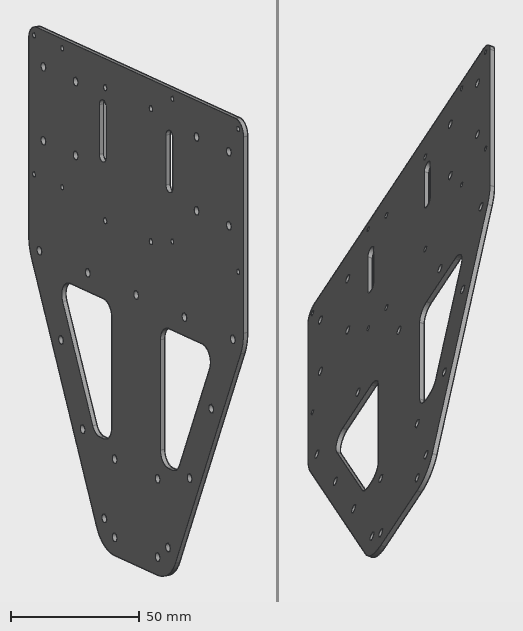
import cadquery as cq

width = 160.0
height = 200.0
thickness = 2.0
half_width = width / 2
half_height = height / 2
taper_slope = 2.0
shoulder_z = 9.5
foot_half_width = half_width - (shoulder_z + half_height) / taper_slope
top_radius = 6.0
shoulder_radius = 20.0
foot_radius = 15.0

window_inner_x = 18.2
window_top_z = 2.2
window_bottom_z = -54.5
window_top_outer_x = 59.0
window_bottom_outer_x = window_top_outer_x - (window_top_z - window_bottom_z) / taper_slope
window_radius = 6.0

slot_x = 24.8
slot_z = 70.2
slot_length = 25.2
slot_width = 5.0

large_diameter = 3.5
mount_columns = (45.0, 69.0)
mount_rows = (55.2, 85.2)
row_z = 9.8
row_pitch = 36.0
edge_hole_drop = 32.2
edge_hole_count = 3
foot_hole_x = 16.0
foot_hole_rows = (-60.8, -92.5)

medium_diameter = 2.5
medium_columns = (-23.0, 11.0)
medium_rows = (34.2, 88.2)

small_diameter = 2.0
small_top_z = 96.2
small_left_columns = (-76.0, -55.0)
small_left_bottom_z = 39.8
small_right_columns = (27.0, 76.0)
small_right_bottom_z = 38.2


def extrude_centred(sketch):
    """Extrude an XZ sketch by the plate thickness, centred on Y = 0."""
    return sketch.extrude(thickness / 2, both=True)


def grid(columns, rows):
    """All (x, z) points of a rectangular pattern."""
    return [(x, z) for x in columns for z in rows]


def mirrored(points):
    """The points together with their mirror images across X = 0."""
    return [(side * x, z) for side in (-1, 1) for x, z in points]


def make_plate():
    right_side = [
        (half_width, half_height),
        (half_width, shoulder_z),
        (foot_half_width, -half_height),
    ]
    left_side = [(-x, z) for x, z in reversed(right_side)]
    plate = extrude_centred(cq.Workplane("XZ").polyline(right_side + left_side).close())
    plate = plate.edges("|Y and >Z").fillet(top_radius)
    plate = plate.edges("|Y and <Z").fillet(foot_radius)
    shoulders = cq.selectors.BoxSelector(
        (-width, -thickness, shoulder_z - 2),
        (width, thickness, shoulder_z + 2),
    )
    return plate.edges("|Y").edges(shoulders).fillet(shoulder_radius)


def make_windows():
    corners = [
        (window_inner_x, window_top_z),
        (window_top_outer_x, window_top_z),
        (window_bottom_outer_x, window_bottom_z),
        (window_inner_x, window_bottom_z),
    ]
    window = extrude_centred(cq.Workplane("XZ").polyline(corners).close())
    window = window.edges("|Y").fillet(window_radius)
    return window.union(window.mirror("YZ"))


def make_slots():
    centres = mirrored([(slot_x, slot_z)])
    return extrude_centred(cq.Workplane("XZ").pushPoints(centres).slot2D(slot_length, slot_width, 90))


def make_holes(points, diameter):
    return extrude_centred(cq.Workplane("XZ").pushPoints(points).circle(diameter / 2))


edge_points = [
    (2 * row_pitch - step * edge_hole_drop / taper_slope, row_z - step * edge_hole_drop)
    for step in range(1, edge_hole_count + 1)
]
large_points = mirrored(grid(mount_columns, mount_rows) + edge_points + grid((foot_hole_x,), foot_hole_rows))
large_points += [(index * row_pitch, row_z) for index in range(-2, 3)]
medium_points = grid(medium_columns, medium_rows)
small_points = grid(small_left_columns, (small_left_bottom_z, small_top_z))
small_points += grid(small_right_columns, (small_right_bottom_z, small_top_z))

result = (
    make_plate()
    .cut(make_windows())
    .cut(make_slots())
    .cut(make_holes(large_points, large_diameter))
    .cut(make_holes(medium_points, medium_diameter))
    .cut(make_holes(small_points, small_diameter))
)